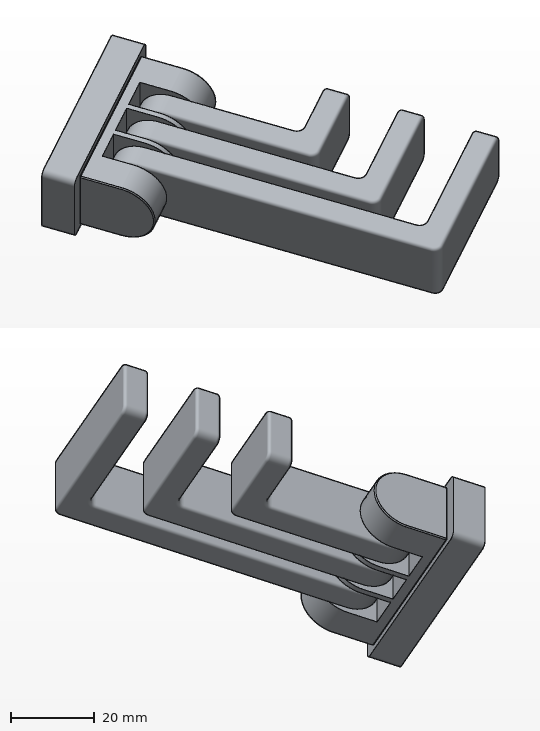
import cadquery as cq

plate_thickness = 8.4
plate_width = 48.0
plate_height = 20.0
plate_corner_radius = 1.7

hinge_width = 41.3
hinge_radius = 8.6
hinge_axis_x = 19.1
hinge_edge_break = 0.3

slot_width = 7.5
slot_floor_x = 11.2
slot_wall = 1.4
slot_pitch = slot_width + slot_wall

arm_section = 6.4
arm_height = 16.1
arm_radius = arm_height / 2
arm_axis_x = 19.6
arm_corner_radius = 2.0
arm_edge_radius = 0.8
arm_overhang = 4.1
arm_tip_y = plate_width / 2 + arm_overhang
longest_reach = 97.3
reach_step = 19.1
arm_count = 3

spacer_radius = 6.0


def arm_y(index):
    """Centre of the arm along the hinge axis, the longest arm first."""
    return (index - (arm_count - 1) / 2) * slot_pitch


def disc(y_centre, radius, width):
    """Cylinder about the pivot axis of the arms."""
    return (
        cq.Workplane("XZ", origin=(0, y_centre, 0))
        .center(arm_axis_x, 0)
        .circle(radius)
        .extrude(width / 2, both=True)
    )


def make_plate():
    plate = cq.Workplane("XY").box(
        plate_thickness, plate_width, plate_height, centered=(False, True, True)
    )
    return plate.edges("|X").fillet(plate_corner_radius)


def make_hinge():
    block = (
        cq.Workplane("XZ")
        .moveTo(plate_thickness, -hinge_radius)
        .lineTo(hinge_axis_x, -hinge_radius)
        .threePointArc((hinge_axis_x + hinge_radius, 0), (hinge_axis_x, hinge_radius))
        .lineTo(plate_thickness, hinge_radius)
        .close()
        .extrude(hinge_width / 2, both=True)
    )
    block = block.faces("<X or <Y or >Y").edges().chamfer(hinge_edge_break)
    slot_length = hinge_axis_x + hinge_radius - slot_floor_x
    for index in range(arm_count):
        slot = cq.Workplane("XY").box(
            slot_length, slot_width, 2 * hinge_radius, centered=(False, True, True)
        )
        block = block.cut(slot.translate((slot_floor_x, arm_y(index), 0)))
    return block


def make_arm(y_centre, reach):
    y_outer = y_centre - arm_section / 2
    y_inner = y_centre + arm_section / 2
    leg_x = reach - arm_section
    arm = (
        cq.Workplane("XY")
        .workplane(offset=-arm_height / 2)
        .moveTo(arm_axis_x - arm_radius, y_outer)
        .lineTo(reach, y_outer)
        .lineTo(reach, arm_tip_y)
        .lineTo(leg_x, arm_tip_y)
        .lineTo(leg_x, y_inner)
        .lineTo(arm_axis_x - arm_radius, y_inner)
        .close()
        .extrude(arm_height)
    )
    pivot_block = cq.Workplane("XY").box(
        arm_radius, arm_section, arm_height, centered=(False, True, True)
    ).translate((arm_axis_x - arm_radius, y_centre, 0))
    pivot_round = disc(y_centre, arm_radius, arm_section)
    arm = arm.cut(pivot_block.cut(pivot_round))

    bar_zone = cq.selectors.BoxSelector(
        (0, y_outer - arm_section, -arm_height),
        (reach + arm_section, y_inner + arm_section, arm_height),
    )
    arm = arm.edges("|Z").edges(bar_zone).fillet(arm_corner_radius)
    arm = arm.faces(">Y").edges("|X").fillet(arm_corner_radius)

    return arm.edges("|X and >Z").edges(bar_zone).fillet(arm_edge_radius)


result = make_plate().union(make_hinge())
for arm_index in range(arm_count):
    arm_centre_y = arm_y(arm_index)
    arm_reach = longest_reach - arm_index * reach_step
    result = result.union(disc(arm_centre_y, spacer_radius, slot_width))
    result = result.union(make_arm(arm_centre_y, arm_reach))